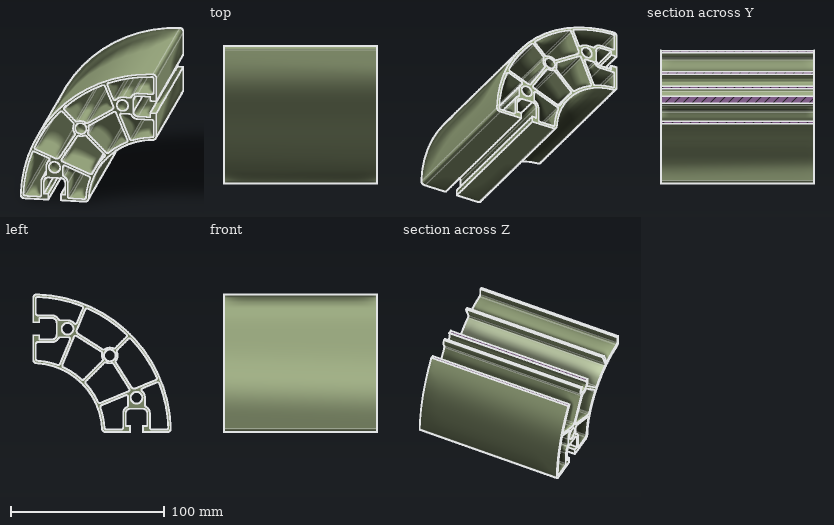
import cadquery as cq
import math

length = 100.0
outer_radius = 90.0
inner_radius = 45.0
wall = 1.8
corner_radius = 2.5
cell_fillet = 1.1
web_fillet = 2.2
tolerance = 0.01

slot_opening = 8.3
slot_width = 14.0
slot_depth = 15.3
slot_lip = 4.1
slot_corner_radius = 3.0
slot_wall = 1.8
slot_center = (outer_radius + inner_radius) / 2

hole_diameter = 7.5
end_hole_depth = 22.5
end_boss_radius = 5.6
middle_boss_radius = 5.2
middle_hole_radius = 70.8

middle_angle = 45.0
spoke_spacing = 22.5
spoke_angles = (middle_angle - spoke_spacing, middle_angle, middle_angle + spoke_spacing)

section = cq.Plane(origin=(-length / 2, 0, 0), xDir=(0, -1, 0), normal=(-1, 0, 0))

end_holes = [(end_hole_depth, slot_center), (slot_center, end_hole_depth)]


def sketch():
    return cq.Workplane(section)


def prism(outline):
    """Extrude a closed section outline over the full length."""
    return outline.extrude(-length)


def quarter_ring(inner, outer, inset):
    """Quarter ring whose straight ends lie inset from the quadrant edges."""
    inner_end = math.sqrt(inner**2 - inset**2)
    outer_end = math.sqrt(outer**2 - inset**2)
    diagonal = math.sqrt(0.5)
    return prism(
        sketch()
        .moveTo(inset, inner_end)
        .lineTo(inset, outer_end)
        .threePointArc((outer * diagonal, outer * diagonal), (outer_end, inset))
        .lineTo(inner_end, inset)
        .threePointArc((inner * diagonal, inner * diagonal), (inset, inner_end))
        .close()
    )


def bar(start, end, width):
    """Straight bar of the given width, from start to end."""
    run = end[0] - start[0]
    rise = end[1] - start[1]
    bar_length = math.hypot(run, rise)
    side = (-rise / bar_length * width / 2, run / bar_length * width / 2)
    return prism(
        sketch().polyline([
            (start[0] + side[0], start[1] + side[1]),
            (end[0] + side[0], end[1] + side[1]),
            (end[0] - side[0], end[1] - side[1]),
            (start[0] - side[0], start[1] - side[1]),
        ]).close()
    )


def disc(center, radius):
    return prism(sketch().center(*center).circle(radius))


def mirrored(body):
    """Copy a body from the vertical end to the horizontal end, across the 45 degree plane."""
    return body.mirror((0, 1, 1))


def end_bar(start_depth, end_depth, width):
    """Bar along the slot center line of the vertical end."""
    return bar((start_depth, slot_center), (end_depth, slot_center), width)


def rounded_channel(depth, width, radius):
    """Channel from the end face with its two deep corners rounded."""
    return end_bar(0, depth, width).edges("|X and <Y").fillet(radius)


def polar(radius, angle):
    """Section point at a distance and angle from the bend axis."""
    return (radius * math.cos(math.radians(angle)), radius * math.sin(math.radians(angle)))


def spoke(angle):
    return bar(polar(inner_radius, angle), polar(outer_radius, angle), wall)


def is_sharp(edge):
    """False where a housing or boss arc runs smoothly into a straight wall."""
    corner = edge.Center()
    depth = min(-corner.y, corner.z)
    smooth_depths = (slot_depth - slot_corner_radius, end_hole_depth)
    return all(abs(depth - smooth_depth) > tolerance for smooth_depth in smooth_depths)


def web_corners(body):
    """The two cell edges where a web meets the outer side of a spoke, beside an end hole."""
    end_hole_radius = math.hypot(end_hole_depth, slot_center)
    points = [polar(end_hole_radius, angle) for angle in (spoke_angles[0], spoke_angles[-1])]
    selectors = [cq.NearestToPointSelector((0, -across, up)) for across, up in points]
    return [body.edges("|X").edges(selector).val() for selector in selectors]


slot_housing = rounded_channel(
    slot_depth + slot_wall, slot_width + 2 * slot_wall, slot_corner_radius + slot_wall
)
slot_block = end_bar(slot_depth, end_hole_depth, 2 * end_boss_radius)
housing = slot_housing.union(slot_block)

middle_hole = polar(middle_hole_radius, middle_angle)
dividers = disc(middle_hole, middle_boss_radius)
for angle in spoke_angles:
    dividers = dividers.union(spoke(angle))
for end_hole in end_holes:
    dividers = dividers.union(disc(end_hole, end_boss_radius))
    dividers = dividers.union(bar(end_hole, middle_hole, wall))
dividers = dividers.union(housing).union(mirrored(housing))

cells = quarter_ring(inner_radius + wall, outer_radius - wall, wall).cut(dividers)
wide_edges = web_corners(cells)
narrow_edges = [
    edge
    for edge in cells.edges("|X").filter(is_sharp).vals()
    if not any(edge.isSame(wide_edge) for wide_edge in wide_edges)
]
cells = cells.newObject(narrow_edges).fillet(cell_fillet)
cells = cells.newObject(web_corners(cells)).fillet(web_fillet)

result = quarter_ring(inner_radius, outer_radius, 0).edges("|X").fillet(corner_radius)
result = result.cut(cells)

slot = end_bar(0, slot_depth, slot_opening).union(
    rounded_channel(slot_depth, slot_width, slot_corner_radius)
    .cut(end_bar(0, slot_lip, slot_width))
)
result = result.cut(slot).cut(mirrored(slot))

for hole in end_holes + [middle_hole]:
    result = result.cut(disc(hole, hole_diameter / 2))